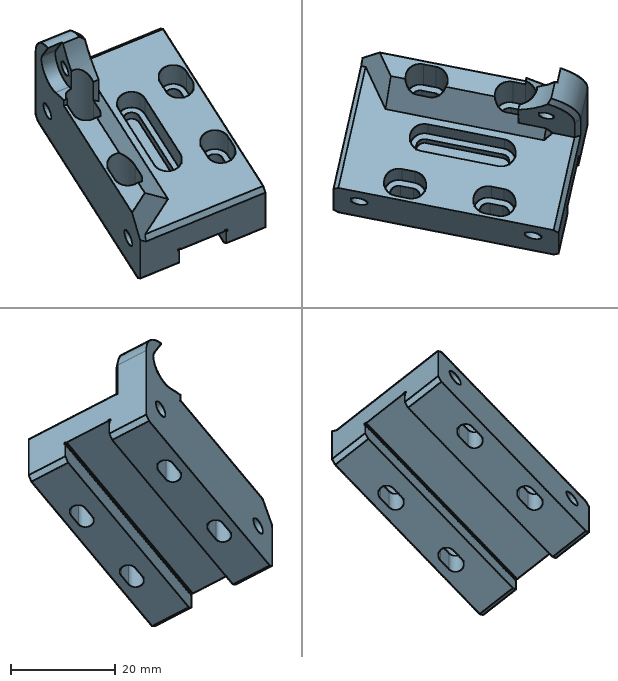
import cadquery as cq
import math

length = 44.1
width = 27.0
base_top = 13.05
overall_height = 28.7
edge_chamfer = 0.95
mid_x = length / 2
mid_y = width / 2

channel_width = 10.1
channel_depth = 5.03
relief_radius = 0.25

ledge_top = 18.05
ledge_depth = 4.3
ledge_left = 6.55
ledge_right = 37.6
end_slope = 1.4

lug_width = 12.0
lug_thickness = 7.5
lug_arc_start = 20.95
lug_arc_radius = 8.1
lug_right_top = 21.85
lug_hollow_x = 8.05
lug_hollow_z = 25.25

pivot_x = 6.53
pivot_z = 21.55
pivot_diameter = 3.0
pocket_radius = 4.0
pocket_depth = 3.0
pocket_steep_angle = math.radians(65.5)
pocket_shallow_angle = math.radians(26.5)
pocket_reach = 17.65

cross_hole_diameter = 3.3
cross_hole_spacing = 34.1
cross_hole_z = 8.0

slot_width = 3.25
counterbore_width = 5.65
mount_floor = 7.0
mount_travel = 2.5
mount_spacing_x = 17.5
mount_spacing_y = 20.0
centre_slot_x = 21.6
centre_slot_travel = 15.0
centre_floor = 8.03
centre_slot_bottom = 6.0


def front_sketch():
    """Sketch plane on the front face: local x is X, local y is Z, extruding a negative depth goes to +Y."""
    return cq.Workplane("XZ")


def make_base():
    """Block with all four edges along Y chamfered."""
    block = cq.Workplane("XY").box(length, width, base_top, centered=False)
    return block.edges("|Y").chamfer(edge_chamfer)


def ledge_section(z):
    """Corners of the ledge at height z; it shrinks by 45 degrees at the rear and more steeply at the ends."""
    depth = ledge_depth + ledge_top - z
    run_out = depth / end_slope
    return [
        (ledge_left - run_out, 0),
        (ledge_right + run_out, 0),
        (ledge_right, depth),
        (ledge_left, depth),
    ]


def make_ledge():
    """Ledge rooted in the base, trimmed to the length of the block."""
    root = base_top - 2 * edge_chamfer
    ledge = (
        cq.Workplane("XY", origin=(0, 0, root))
        .polyline(ledge_section(root)).close()
        .workplane(offset=ledge_top - root)
        .polyline(ledge_section(ledge_top)).close()
        .loft(ruled=True)
    )
    limits = cq.Workplane("XY").box(length, width, overall_height, centered=False)
    return ledge.intersect(limits)


def make_lug():
    """Lug with a round left shoulder, a hollow right flank and a chamfered rear left edge."""
    root = base_top - 2 * edge_chamfer
    rise = overall_height - lug_arc_start
    peak_x = lug_arc_radius - math.sqrt(lug_arc_radius**2 - rise**2)
    half_sweep = math.asin(rise / lug_arc_radius) / 2
    shoulder = (
        lug_arc_radius * (1 - math.cos(half_sweep)),
        lug_arc_start + lug_arc_radius * math.sin(half_sweep),
    )
    lug = (
        front_sketch()
        .moveTo(0, root)
        .lineTo(0, lug_arc_start)
        .threePointArc(shoulder, (peak_x, overall_height))
        .threePointArc((lug_hollow_x, lug_hollow_z), (lug_width, lug_right_top))
        .lineTo(lug_width, root)
        .close()
        .extrude(-lug_thickness)
    )
    rear_left_edge = cq.selectors.NearestToPointSelector((0, lug_thickness, (root + lug_arc_start) / 2))
    rear_shoulder_edge = cq.selectors.NearestToPointSelector((shoulder[0], lug_thickness, shoulder[1]))
    return lug.faces(">Y").edges(rear_left_edge + rear_shoulder_edge).chamfer(edge_chamfer)


def make_lug_pocket():
    """Round pocket about the pivot that opens between two tangent walls."""
    steep = (math.cos(pocket_steep_angle), math.sin(pocket_steep_angle))
    shallow = (math.cos(pocket_shallow_angle), math.sin(pocket_shallow_angle))
    left_tangent = (pivot_x - pocket_radius * steep[1], pivot_z + pocket_radius * steep[0])
    right_tangent = (pivot_x + pocket_radius * shallow[1], pivot_z - pocket_radius * shallow[0])
    middle_angle = (pocket_steep_angle + pocket_shallow_angle) / 2 + math.pi
    arc_middle = (
        pivot_x + pocket_radius * math.cos(middle_angle),
        pivot_z + pocket_radius * math.sin(middle_angle),
    )
    return (
        front_sketch()
        .moveTo(*left_tangent)
        .threePointArc(arc_middle, right_tangent)
        .line(pocket_reach * shallow[0], pocket_reach * shallow[1])
        .lineTo(left_tangent[0] + pocket_reach * steep[0], left_tangent[1] + pocket_reach * steep[1])
        .close()
        .extrude(-pocket_depth)
    )


def make_round_holes():
    """Pivot hole and the two cross holes, all along Y."""
    pivot = front_sketch().center(pivot_x, pivot_z).circle(pivot_diameter / 2).extrude(-width)
    cross = (
        front_sketch()
        .center(mid_x, cross_hole_z)
        .rarray(cross_hole_spacing, 0.45, 2, 1)
        .circle(cross_hole_diameter / 2)
        .extrude(-width)
    )
    return pivot.union(cross)


def make_channel():
    """Rectangular channel with a round relief along both top corners."""
    channel = cq.Workplane("XY").box(length, channel_width, channel_depth, centered=False)
    channel = channel.translate((0, mid_y - channel_width / 2, 0))
    reliefs = (
        cq.Workplane("YZ")
        .center(mid_y, channel_depth)
        .rarray(channel_width, 0.45, 2, 1)
        .circle(relief_radius)
        .extrude(length)
    )
    return channel.union(reliefs)


def make_stepped_slot(x, y, travel, bottom, floor):
    """Slot along X reaching down to bottom, under a wider counterbore from floor to the top."""
    slot = (
        cq.Workplane("XY", origin=(x, y, bottom))
        .slot2D(travel + slot_width, slot_width)
        .extrude(overall_height - bottom)
    )
    counterbore = (
        cq.Workplane("XY", origin=(x, y, floor))
        .slot2D(travel + counterbore_width, counterbore_width)
        .extrude(overall_height - floor)
    )
    return slot.union(counterbore)


result = make_base().union(make_ledge()).union(make_lug())
result = result.cut(make_lug_pocket()).cut(make_round_holes()).cut(make_channel())

for side_x in (-1, 1):
    for side_y in (-1, 1):
        slot_x = mid_x + side_x * mount_spacing_x / 2
        slot_y = mid_y + side_y * mount_spacing_y / 2
        result = result.cut(make_stepped_slot(slot_x, slot_y, mount_travel, 0, mount_floor))

centre_slot = make_stepped_slot(centre_slot_x, mid_y, centre_slot_travel, centre_slot_bottom, centre_floor)
result = result.cut(centre_slot)